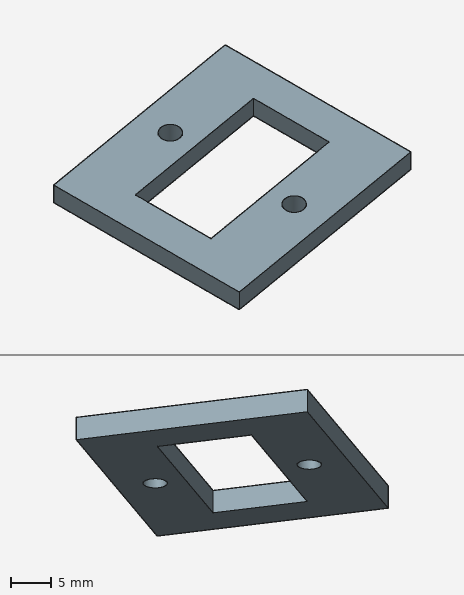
import cadquery as cq

plate_width = 30.0
plate_length = 33.0
plate_thickness = 3.0

window_width = 12.2
window_length = 22.7

hole_diameter = 3.0
hole_spacing = 20.0

plate = cq.Workplane("XY").box(plate_width, plate_length, plate_thickness)

plate = plate.faces(">Z").workplane().rect(window_width, window_length).cutThruAll()

hole_centres = [(-hole_spacing / 2, 0), (hole_spacing / 2, 0)]
result = plate.faces(">Z").workplane(origin=(0, 0, 0)).pushPoints(hole_centres).hole(hole_diameter)